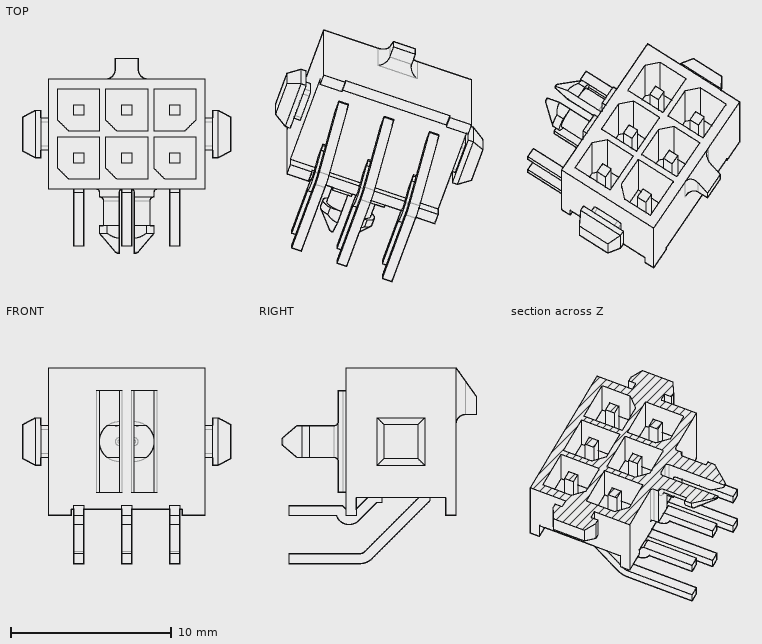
import cadquery as cq
import math


TOTAL_LENGTH = 13.0
BODY_LENGTH = 9.8
BODY_DEPTH = 6.89
BODY_HEIGHT = 9.22
BODY_MID_Y = BODY_DEPTH / 2
BODY_MID_Z = BODY_HEIGHT / 2
WALL_FOOT = 0.65
FLOOR_BOTTOM = 1.1
FOOT_LENGTH = 1.44
FOOT_HEIGHT = 0.38

PITCH = 3.0
COLUMNS = (-PITCH, 0, PITCH)
FRONT_ROW_Y = BODY_MID_Y - PITCH / 2
BACK_ROW_Y = BODY_MID_Y + PITCH / 2

CAVITY_SIZE = 2.63
CAVITY_CHAMFER = 0.69
FLOOR_THICKNESS = 1.04
CAVITY_FLOOR = FLOOR_BOTTOM + FLOOR_THICKNESS

PIN_SIZE = 0.64
PIN_RECESS = 1.95
PIN_TOP = BODY_HEIGHT - PIN_RECESS
PIN_END_Y = -3.56
BACK_TAIL_DROP = 3.03
BACK_TAIL_Z = PIN_SIZE / 2 - BACK_TAIL_DROP
FRONT_TAIL_Z = BACK_TAIL_Z + PITCH
BACK_BEND_Y = 1.18
BACK_BEND_INNER_RADIUS = 0.43
DIP_RADIUS = 0.85
DIP_CENTRE_Y = 0.21
DIP_CENTRE_Z = 0.26
FRONT_TAIL_START_Y = -0.21
FRONT_POST_BOTTOM = 0.79

NECK_SIZE = 2.02
NECK_RADIUS = 0.26
NECK_LENGTH = 0.47
CLIP_SIZE = 2.98
CLIP_PLATE = 0.34
CLIP_TIP_SIZE = 2.13
CLIP_TAPER = (TOTAL_LENGTH - BODY_LENGTH) / 2 - NECK_LENGTH - CLIP_PLATE

SPLIT_HALF = 0.45
PAD_OUTER_X = 1.72
PAD_DEPTH = 0.48
PAD_RADIUS = 0.17
PAD_BOTTOM = 1.43
PAD_TOP = 7.79

PEG_RADIUS = 1.0
PEG_FLARE = 0.25
HEAD_RADIUS = PAD_OUTER_X - SPLIT_HALF
HEAD_START = 2.28
HEAD_CONE_START = 2.75
PEG_TIP = 4.0
TIP_RADIUS = 0.2
TIP_ROUNDING = 0.2

LATCH_HALF_WIDTH = 0.73
LATCH_DEPTH = 1.29
LATCH_BOTTOM = 6.29
LATCH_SLOPE_BOTTOM = 7.41
LATCH_RADIUS = 0.58

OVERLAP = 0.13


def box(x0, x1, y0, y1, z0, z1):
    return cq.Workplane("XY").box(x1 - x0, y1 - y0, z1 - z0, centered=False).translate((x0, y0, z0))


def make_housing():
    half = BODY_LENGTH / 2
    inner = half - FOOT_LENGTH
    body = box(-half, half, 0, BODY_DEPTH, 0, BODY_HEIGHT)
    body = body.cut(box(-half, half, WALL_FOOT, BODY_DEPTH - WALL_FOOT, 0, FLOOR_BOTTOM))
    return body.cut(box(-inner, inner, 0, BODY_DEPTH, 0, FOOT_HEIGHT))


def make_cavity(x, y):
    half = CAVITY_SIZE / 2
    cavity = box(x - half, x + half, y - half, y + half, CAVITY_FLOOR, BODY_HEIGHT)
    mirrored = x > 0 and y > BODY_MID_Y
    keyed_side = ">X" if mirrored else "<X"
    return cavity.edges("|Z").edges("<Y").edges(keyed_side).chamfer(CAVITY_CHAMFER)


def make_back_pin(x):
    """Pin that leaves the floor vertically, slopes down at 45 degrees and ends in a level tail."""
    half = PIN_SIZE / 2
    miter = half * math.tan(math.radians(45 / 2))
    slope_top = BACK_TAIL_Z + BACK_ROW_Y - BACK_BEND_Y
    upper_bend = (BACK_BEND_Y - miter, BACK_TAIL_Z + half)
    lower_bend = (BACK_BEND_Y + miter, BACK_TAIL_Z - half)
    pin = (
        cq.Workplane("YZ", origin=(x, 0, 0))
        .moveTo(PIN_END_Y, BACK_TAIL_Z + half)
        .lineTo(*upper_bend)
        .lineTo(BACK_ROW_Y - half, slope_top + miter)
        .lineTo(BACK_ROW_Y - half, PIN_TOP)
        .lineTo(BACK_ROW_Y + half, PIN_TOP)
        .lineTo(BACK_ROW_Y + half, slope_top - miter)
        .lineTo(*lower_bend)
        .lineTo(PIN_END_Y, BACK_TAIL_Z - half)
        .close()
        .extrude(half, both=True)
    )
    outer_radius = BACK_BEND_INNER_RADIUS + PIN_SIZE
    for bend, radius in ((upper_bend, BACK_BEND_INNER_RADIUS), (lower_bend, outer_radius)):
        edge = cq.selectors.NearestToPointSelector((x, *bend))
        pin = pin.edges("|X").edges(edge).fillet(radius)
    return pin


def make_front_pin(x):
    """Pin that slopes down at 45 degrees, dips under the front wall and rises to a level tail."""
    half = PIN_SIZE / 2
    tail_top = FRONT_TAIL_Z + half
    tail_bottom = FRONT_TAIL_Z - half
    front = FRONT_ROW_Y - half
    back = FRONT_ROW_Y + half

    lower_offset = DIP_CENTRE_Z - DIP_CENTRE_Y - DIP_RADIUS * math.sqrt(2)
    upper_offset = lower_offset + PIN_SIZE * math.sqrt(2)
    tangent_reach = DIP_RADIUS / math.sqrt(2)
    dip_rise = tail_bottom - DIP_CENTRE_Z
    dip_end_y = DIP_CENTRE_Y - math.sqrt(DIP_RADIUS**2 - dip_rise**2)
    notch_y = (FRONT_TAIL_START_Y + tail_top - upper_offset) / 2

    return (
        cq.Workplane("YZ", origin=(x, 0, 0))
        .moveTo(PIN_END_Y, tail_top)
        .lineTo(FRONT_TAIL_START_Y, tail_top)
        .lineTo(notch_y, notch_y + upper_offset)
        .lineTo(front, front + upper_offset)
        .lineTo(front, PIN_TOP)
        .lineTo(back, PIN_TOP)
        .lineTo(back, FRONT_POST_BOTTOM)
        .lineTo(FRONT_POST_BOTTOM - lower_offset, FRONT_POST_BOTTOM)
        .lineTo(DIP_CENTRE_Y + tangent_reach, DIP_CENTRE_Z - tangent_reach)
        .threePointArc((DIP_CENTRE_Y, DIP_CENTRE_Z - DIP_RADIUS), (dip_end_y, tail_bottom))
        .lineTo(PIN_END_Y, tail_bottom)
        .close()
        .extrude(half, both=True)
    )


def make_side_clip():
    """Clip on the +X side: rounded neck, square plate and tapered tip."""
    start = BODY_LENGTH / 2
    side = cq.Workplane("YZ", origin=(start - OVERLAP, BODY_MID_Y, BODY_MID_Z))
    neck = side.rect(NECK_SIZE, NECK_SIZE).extrude(OVERLAP + NECK_LENGTH).edges("|X").fillet(NECK_RADIUS)
    plate = side.workplane(offset=OVERLAP + NECK_LENGTH).rect(CLIP_SIZE, CLIP_SIZE).extrude(CLIP_PLATE)
    tip = (
        side.workplane(offset=OVERLAP + NECK_LENGTH + CLIP_PLATE)
        .rect(CLIP_SIZE, CLIP_SIZE)
        .workplane(offset=CLIP_TAPER)
        .rect(CLIP_TIP_SIZE, CLIP_TIP_SIZE)
        .loft(ruled=True)
    )
    return neck.union(plate).union(tip)


def make_pad():
    """Upright pad on the +X side of the gap, with hollow fillets where it leaves the wall."""
    r = PAD_RADIUS
    outline = (
        cq.Workplane("XY")
        .moveTo(SPLIT_HALF - r, OVERLAP)
        .lineTo(SPLIT_HALF - r, 0)
        .radiusArc((SPLIT_HALF, -r), r)
        .lineTo(SPLIT_HALF, -PAD_DEPTH)
        .lineTo(PAD_OUTER_X, -PAD_DEPTH)
        .lineTo(PAD_OUTER_X, -r)
        .radiusArc((PAD_OUTER_X + r, 0), r)
        .lineTo(PAD_OUTER_X + r, OVERLAP)
        .close()
    )
    return outline.extrude(PAD_TOP - PAD_BOTTOM).translate((0, 0, PAD_BOTTOM))


def make_peg_half():
    """Half peg on the +X side of the gap, its head flattened to the shaft height."""
    flare_radius = PEG_RADIUS + PEG_FLARE
    profile = (
        cq.Workplane("XY")
        .moveTo(0, OVERLAP - PAD_DEPTH)
        .lineTo(flare_radius, OVERLAP - PAD_DEPTH)
        .lineTo(flare_radius, -PAD_DEPTH)
        .radiusArc((PEG_RADIUS, -PAD_DEPTH - PEG_FLARE), -PEG_FLARE)
        .lineTo(PEG_RADIUS, -HEAD_START)
        .lineTo(HEAD_RADIUS, -HEAD_START)
        .lineTo(HEAD_RADIUS, -HEAD_CONE_START)
        .lineTo(TIP_RADIUS, -PEG_TIP)
        .lineTo(0, -PEG_TIP)
        .close()
    )
    peg = profile.revolve(360, (0, 0, 0), (0, 1, 0)).faces("<Y").edges().fillet(TIP_ROUNDING)
    keep_shaft = box(0, flare_radius, -HEAD_START, 0, -flare_radius, flare_radius)
    keep_head = box(0, HEAD_RADIUS, -PEG_TIP, -HEAD_START, -PEG_RADIUS, PEG_RADIUS)
    peg = peg.intersect(keep_shaft.union(keep_head))
    return peg.translate((SPLIT_HALF, 0, BODY_MID_Z))


def make_latch():
    """Ramp latch on the back, blended into the wall at its sides and underneath."""
    r = LATCH_RADIUS
    back = BODY_DEPTH
    tip = back + LATCH_DEPTH
    root = LATCH_HALF_WIDTH + r
    plan = (
        cq.Workplane("XY")
        .moveTo(-root, back - OVERLAP)
        .lineTo(-root, back)
        .radiusArc((-LATCH_HALF_WIDTH, back + r), -r)
        .lineTo(-LATCH_HALF_WIDTH, tip)
        .lineTo(LATCH_HALF_WIDTH, tip)
        .lineTo(LATCH_HALF_WIDTH, back + r)
        .radiusArc((root, back), -r)
        .lineTo(root, back - OVERLAP)
        .close()
        .extrude(BODY_HEIGHT)
    )
    side = (
        cq.Workplane("YZ")
        .moveTo(back - OVERLAP, BODY_HEIGHT)
        .lineTo(back, BODY_HEIGHT)
        .lineTo(tip, LATCH_SLOPE_BOTTOM)
        .lineTo(tip, LATCH_BOTTOM)
        .lineTo(back + r, LATCH_BOTTOM)
        .radiusArc((back, LATCH_BOTTOM - r), -r)
        .lineTo(back - OVERLAP, LATCH_BOTTOM - r)
        .close()
        .extrude(root, both=True)
    )
    return plan.intersect(side)


result = make_housing()
for column_x in COLUMNS:
    for row_y in (FRONT_ROW_Y, BACK_ROW_Y):
        result = result.cut(make_cavity(column_x, row_y))
    result = result.union(make_front_pin(column_x)).union(make_back_pin(column_x))
for feature in (make_side_clip(), make_pad(), make_peg_half()):
    result = result.union(feature).union(feature.mirror("YZ"))
result = result.union(make_latch())